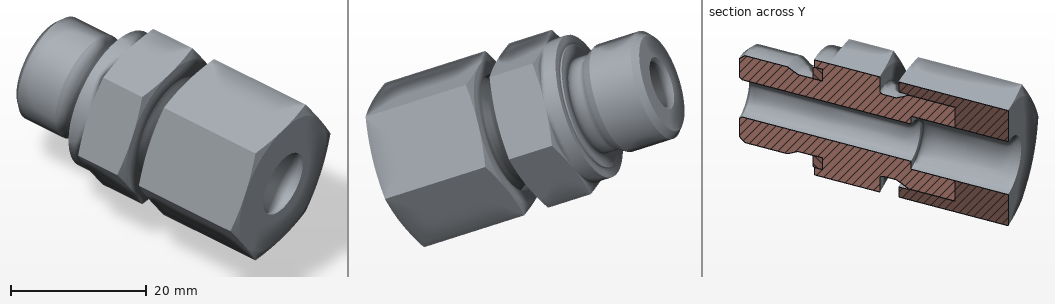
import cadquery as cq
import math


total_length = 43.0
flange_x = 12.0
flange_width = 2.5
body_hex_width = 8.0
body_hex_x = flange_x + flange_width
body_hex_end_x = body_hex_x + body_hex_width
nut_gap = 3.0
nut_x = body_hex_end_x + nut_gap

across_flats = 22.0
flat_radius = across_flats / 2
corner_radius = flat_radius / math.cos(math.radians(30))
hex_chamfer_angle = 15.0

stud_radius = 16.662 / 2
stud_chamfer = 0.93
relief_radius = 7.38
relief_cone_x = 7.75
relief_cone_angle = 30.0
relief_fillet = 1.0

bore_radius = 3.5
bore_chamfer = 0.5

connection_radius = 9.0
connection_length = 12.0
connection_end_x = body_hex_end_x + connection_length
neck_radius = 7.85
neck_fillet_length = 0.6
neck_fillet_rise = 0.3
neck_cone_x = 25.1
neck_cone_angle = 30.0
tube_radius = 5.0
tube_socket_depth = 7.0

ring_radius = 9.5
ring_thickness = 1.5
ring_protrusion = 0.25
ring_x = flange_x - ring_protrusion
ring_seat_x = ring_x + ring_thickness


def rod(radius, start, end):
    return cq.Workplane("YZ", origin=(start, 0, 0)).circle(radius).extrude(end - start)


def tube(outer_radius, inner_radius, start, end):
    return rod(outer_radius, start, end).cut(rod(inner_radius, start, end))


def chamfered_hexagon(start, end):
    """Hexagon with flats facing +Z and -Z, its corners turned off at both ends."""
    prism = (
        cq.Workplane("YZ", origin=(start, 0, 0))
        .polygon(6, 2 * corner_radius)
        .extrude(end - start)
    )
    chamfer_depth = (corner_radius - flat_radius) * math.tan(math.radians(hex_chamfer_angle))
    turned_blank = (
        cq.Workplane("XY")
        .moveTo(start, 0)
        .lineTo(start, flat_radius)
        .lineTo(start + chamfer_depth, corner_radius)
        .lineTo(end - chamfer_depth, corner_radius)
        .lineTo(end, flat_radius)
        .lineTo(end, 0)
        .close()
        .revolve(360, (0, 0, 0), (1, 0, 0))
    )
    return prism.intersect(turned_blank)


def stud():
    """Threaded stud with a relief: a cone that runs into the relief through a tangent arc."""
    slope = math.radians(relief_cone_angle)
    arc_top = relief_radius + relief_fillet * (1 - math.cos(slope))
    arc_x = relief_cone_x + (stud_radius - arc_top) / math.tan(slope)
    arc_end_x = arc_x + relief_fillet * math.sin(slope)
    arc_middle = (
        arc_end_x - relief_fillet * math.sin(slope / 2),
        relief_radius + relief_fillet * (1 - math.cos(slope / 2)),
    )
    return (
        cq.Workplane("XY")
        .lineTo(0, stud_radius - stud_chamfer)
        .lineTo(stud_chamfer, stud_radius)
        .lineTo(relief_cone_x, stud_radius)
        .lineTo(arc_x, arc_top)
        .threePointArc(arc_middle, (arc_end_x, relief_radius))
        .lineTo(body_hex_x, relief_radius)
        .lineTo(body_hex_x, 0)
        .close()
        .revolve(360, (0, 0, 0), (1, 0, 0))
    )


def connection():
    """Threaded end that enters the nut, joined to the body hexagon by a narrower neck."""
    cone_length = (connection_radius - neck_radius) / math.tan(math.radians(neck_cone_angle))
    neck_x = body_hex_end_x + neck_fillet_length
    return (
        cq.Workplane("XY")
        .moveTo(body_hex_end_x, 0)
        .lineTo(connection_end_x, 0)
        .lineTo(connection_end_x, connection_radius)
        .lineTo(neck_cone_x + cone_length, connection_radius)
        .lineTo(neck_cone_x, neck_radius)
        .lineTo(neck_x, neck_radius)
        .tangentArcPoint((body_hex_end_x, neck_radius + neck_fillet_rise), relative=False)
        .close()
        .revolve(360, (0, 0, 0), (1, 0, 0))
    )


def coupling_body():
    solid = (
        stud()
        .union(rod(flat_radius, flange_x, body_hex_x))
        .union(chamfered_hexagon(body_hex_x, body_hex_end_x))
        .union(connection())
    )
    bore_countersink = cq.Workplane(
        cq.Solid.makeCone(
            bore_radius + bore_chamfer, bore_radius, bore_chamfer, cq.Vector(0, 0, 0), cq.Vector(1, 0, 0)
        )
    )
    return (
        solid.cut(tube(ring_radius, relief_radius, flange_x, ring_seat_x))
        .cut(rod(bore_radius, 0, connection_end_x))
        .cut(bore_countersink)
        .cut(rod(tube_radius, connection_end_x - tube_socket_depth, connection_end_x))
    )


def sealing_ring():
    return tube(ring_radius, relief_radius, ring_x, ring_seat_x)


def union_nut():
    """Nut with a threaded bore for the connection end and a tube hole through its back."""
    return (
        chamfered_hexagon(nut_x, total_length)
        .cut(rod(connection_radius, nut_x, connection_end_x))
        .cut(rod(tube_radius, connection_end_x, total_length))
    )


result = cq.Compound.makeCompound([
    coupling_body().val(),
    sealing_ring().val(),
    union_nut().val(),
])